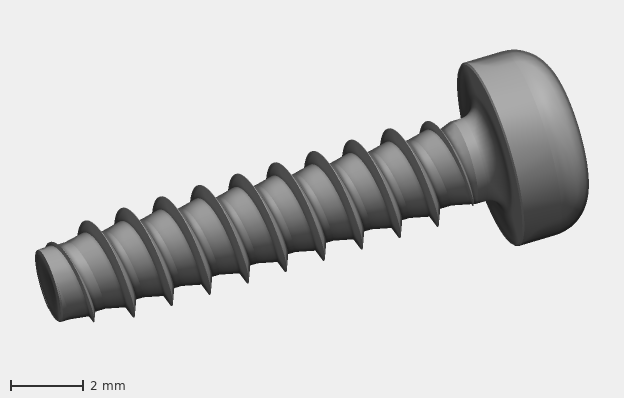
import cadquery as cq
import math


head_radius = 2.65
head_height = 2.3
head_round = 1.15
head_edge_chamfer = 0.05

shank_length = 13.0
neck_radius = 1.2
neck_fillet = 0.49
neck_end = 0.78
neck_taper_end = 1.21
core_radius = 1.04
tip_chamfer = 0.05
dimple_depth = 0.1

thread_length = 12.32
turns = 11
pitch = thread_length / turns
thread_radius = 1.5
thread_start = shank_length - thread_length
run_in_turns = 1.0
run_out_turns = 1.5
start_scale = 0.3
end_scale = 0.05
crest_width = 0.02
head_flank_width = 0.2
tip_flank_width = 0.14
ramp_height = 0.12
ramp_end = 0.69
ramp_overlap = 0.05
root_overlap = 0.12
pieces_per_turn = 2
samples_per_piece = 12
ridge_height = thread_radius - core_radius
head_flank_slope = ridge_height / head_flank_width
tip_flank_slope = (ridge_height - ramp_height) / tip_flank_width


def body():
    """Head, neck, core and tip, revolved about the screw axis."""
    tip_radius = core_radius - tip_chamfer
    dome_start = head_height - head_round
    round_mid = head_round * math.sqrt(0.5)
    fillet_center = neck_radius + neck_fillet
    fillet_mid = neck_fillet * math.sqrt(0.5)
    return (
        cq.Workplane("XY")
        .moveTo(0, head_height)
        .lineTo(head_radius - head_round, head_height)
        .threePointArc(
            (head_radius - head_round + round_mid, dome_start + round_mid),
            (head_radius, dome_start),
        )
        .lineTo(head_radius, head_edge_chamfer)
        .lineTo(head_radius - head_edge_chamfer, 0)
        .lineTo(fillet_center, 0)
        .threePointArc(
            (fillet_center - fillet_mid, fillet_mid - neck_fillet),
            (neck_radius, -neck_fillet),
        )
        .lineTo(neck_radius, -neck_end)
        .lineTo(core_radius, -neck_taper_end)
        .lineTo(core_radius, -shank_length + tip_chamfer)
        .lineTo(tip_radius, -shank_length)
        .lineTo(0, -shank_length + dimple_depth)
        .close()
        .revolve(360, (0, 0, 0), (0, 1, 0))
    )


def ramp_scale(turn):
    """Share of the full ramp height: it fades over the last turns before the tip."""
    return min(end_scale + (1 - end_scale) * (turns - turn) / run_out_turns, 1.0)


def ridge_scale(turn):
    """Share of the full ridge size: it grows at the head end and fades with the ramp."""
    run_in = start_scale + (1 - start_scale) * turn / run_in_turns
    return min(run_in, ramp_scale(turn))


def thread_profile(turn):
    """Corners of the thread section as (distance toward the tip from the crest, radius)."""
    scale = ridge_scale(turn)
    half_crest = crest_width / 2 * scale
    crest = core_radius + ridge_height * scale
    buried = core_radius - root_overlap
    ramp_rise = ramp_height * ramp_scale(turn)
    ramp_top = core_radius + ramp_rise
    ramp_slope = ramp_rise / (ramp_end - tip_flank_width)
    head_foot = half_crest + (crest - buried) / head_flank_slope
    tip_foot = half_crest + (crest - ramp_top) / tip_flank_slope
    ramp_tail = ramp_end + ramp_overlap
    return [
        (-head_foot, buried),
        (-half_crest, crest),
        (half_crest, crest),
        (tip_foot, ramp_top),
        (ramp_tail, ramp_top - ramp_slope * (ramp_tail - tip_foot)),
        (ramp_tail, buried),
    ]


def thread_point(turn, corner):
    """Position in space of one section corner after the given number of turns."""
    along, radius = thread_profile(turn)[corner]
    angle = 2 * math.pi * turn
    y = -thread_start - pitch * turn - along
    return cq.Vector(radius * math.sin(angle), y, -radius * math.cos(angle))


def thread_piece(start, end):
    """Solid stretch of thread between two turn counts, with ruled flanks and flat end caps."""
    params = [start + (end - start) * i / samples_per_piece for i in range(samples_per_piece + 1)]
    corners = range(len(thread_profile(start)))
    edges = []
    for corner in corners:
        points = [thread_point(turn, corner) for turn in params]
        edges.append(cq.Edge.makeSpline(points, parameters=params))
    faces = [cq.Face.makeRuledSurface(edges[c - 1], edges[c]) for c in corners]
    for turn in (start, end):
        outline = cq.Wire.makePolygon([thread_point(turn, c) for c in corners], close=True)
        faces.append(cq.Face.makeFromWires(outline))
    return cq.Solid.makeSolid(cq.Shell.makeShell(faces))


def thread_pieces():
    """The whole thread as short pieces that meet end to end."""
    count = turns * pieces_per_turn
    return [thread_piece(i / pieces_per_turn, (i + 1) / pieces_per_turn) for i in range(count)]


def beyond_tip():
    """Space past the tip face, where the last ramp is cut off."""
    return cq.Workplane("XZ", origin=(0, -shank_length, 0)).circle(thread_radius).extrude(pitch)


screw = body().val().fuse(*thread_pieces())
result = cq.Workplane(screw).cut(beyond_tip())